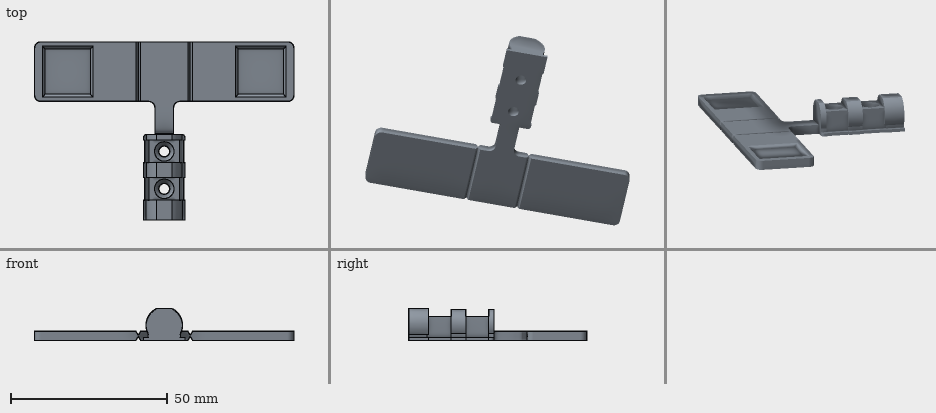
import cadquery as cq
import math

PLATE_LENGTH = 83.0
PLATE_DEPTH = 19.1
PLATE_THICKNESS = 3.0
CORNER_RADIUS = 2.0

HINGE_OFFSET = 8.3
HINGE_GROOVE_WIDTH = 1.5
HINGE_WEB = 0.4

RECESS_SIZE = 16.3
RECESS_TAPER = 0.9
RECESS_DEPTH = 1.0
RECESS_END_GAP = 2.5

STEM_WIDTH = 6.1
STEM_LENGTH = 10.5
STEM_FILLET = 2.0
STEM_BREAK = 0.25

BACK_COLLAR_LENGTH = 1.8
POCKET_LENGTH = 7.2
MIDDLE_COLLAR_LENGTH = 4.7
END_BLOCK_LENGTH = 6.4

FLANGE_THICKNESS = 1.0
FLANGE_HALF_WIDTH = 6.6
FLANGE_RELIEF = 0.3
FLANGE_CORNER_RADIUS = 1.0

TOP_FLAT_HALF_WIDTH = 2.4
NECK_HALF_WIDTH = 5.15
BULGE_HEIGHT = 4.9
COLLAR_HALF_WIDTH = 5.7
COLLAR_TOP = 10.0
COLLAR_NECK_TOP = 2.2
BLOCK_END_HALF_WIDTH = 5.8
BLOCK_MIDDLE_HALF_WIDTH = 5.9
BLOCK_TOP = 10.3
BLOCK_NECK_TOP = 2.0
BLOCK_NECK_SETBACK = 0.5

POCKET_HALF_WIDTH = 4.8
POCKET_TOP = 7.7

SCREW_HOLE_DIAMETER = 3.4
COUNTERSINK_DIAMETER = 6.2
COUNTERSINK_ANGLE = 90.0

clip_back = -STEM_LENGTH
first_pocket_back = clip_back - BACK_COLLAR_LENGTH
middle_collar_back = first_pocket_back - POCKET_LENGTH
second_pocket_back = middle_collar_back - MIDDLE_COLLAR_LENGTH
block_back = second_pocket_back - POCKET_LENGTH
clip_front = block_back - END_BLOCK_LENGTH
pocket_backs = (first_pocket_back, second_pocket_back)


def box(half_width, y_front, y_back, z_bottom, z_top):
    """Box centred on X = 0 between the given Y and Z limits."""
    size = (2 * half_width, y_back - y_front, z_top - z_bottom)
    return cq.Workplane("XY").box(*size, centered=(True, False, False)).translate((0, y_front, z_bottom))


def plate_with_stem():
    plate = (
        cq.Workplane("XY")
        .box(PLATE_LENGTH, PLATE_DEPTH, PLATE_THICKNESS, centered=(True, False, False))
        .edges("|Z")
        .fillet(CORNER_RADIUS)
    )
    stem = box(STEM_WIDTH / 2, clip_back, PLATE_DEPTH / 2, 0, PLATE_THICKNESS)
    stem = stem.edges("<Y and >Z").chamfer(STEM_BREAK)
    inner_corner = STEM_WIDTH / 2 + STEM_FILLET / 2
    corner_picker = cq.selectors.BoxSelector(
        (-inner_corner, -STEM_FILLET / 2, -0.8),
        (inner_corner, STEM_FILLET / 2, PLATE_THICKNESS + 0.8),
    )
    return plate.union(stem).edges("|Z").edges(corner_picker).fillet(STEM_FILLET)


def hinge_grooves():
    """Opposed V grooves above and below each hinge line."""
    middle = PLATE_THICKNESS / 2
    half_width = HINGE_GROOVE_WIDTH / 2
    grooves = cq.Workplane("XY")
    for x in (-HINGE_OFFSET, HINGE_OFFSET):
        for side in (-1, 1):
            surface = middle + side * PLATE_THICKNESS / 2
            root = middle + side * HINGE_WEB / 2
            groove = (
                cq.Workplane("XZ", origin=(x, PLATE_DEPTH, 0))
                .polyline([(-half_width, surface), (0, root), (half_width, surface)])
                .close()
                .extrude(PLATE_DEPTH)
            )
            grooves = grooves.add(groove)
    return grooves.combine()


def recesses():
    """Square recesses with sloping walls near both plate ends."""
    taper = math.degrees(math.atan2(RECESS_TAPER, RECESS_DEPTH))
    centre_x = PLATE_LENGTH / 2 - RECESS_END_GAP - RECESS_SIZE / 2
    return (
        cq.Workplane("XY", origin=(0, PLATE_DEPTH / 2, PLATE_THICKNESS))
        .pushPoints([(-centre_x, 0), (centre_x, 0)])
        .rect(RECESS_SIZE, RECESS_SIZE)
        .extrude(-RECESS_DEPTH, taper=taper)
    )


def round_section(workplane, half_width, top, neck_top):
    """Flat-topped section with round sides that narrow to the neck width."""
    return (
        workplane.moveTo(-NECK_HALF_WIDTH, neck_top)
        .threePointArc((-half_width, BULGE_HEIGHT), (-TOP_FLAT_HALF_WIDTH, top))
        .lineTo(TOP_FLAT_HALF_WIDTH, top)
        .threePointArc((half_width, BULGE_HEIGHT), (NECK_HALF_WIDTH, neck_top))
        .close()
    )


def collar(y_back, length):
    plane = cq.Workplane("XZ", origin=(0, y_back, 0))
    head = round_section(plane, COLLAR_HALF_WIDTH, COLLAR_TOP, COLLAR_NECK_TOP).extrude(length)
    return head.union(box(NECK_HALF_WIDTH, y_back - length, y_back, 0, COLLAR_NECK_TOP))


def end_block():
    """Barrel-sided block, widest halfway along its length."""
    section = cq.Workplane("XZ", origin=(0, block_back, 0))
    section = round_section(section, BLOCK_END_HALF_WIDTH, BLOCK_TOP, BLOCK_NECK_TOP)
    for half_width in (BLOCK_MIDDLE_HALF_WIDTH, BLOCK_END_HALF_WIDTH):
        section = section.workplane(offset=END_BLOCK_LENGTH / 2)
        section = round_section(section, half_width, BLOCK_TOP, BLOCK_NECK_TOP)
    neck_back = block_back - BLOCK_NECK_SETBACK
    return section.loft().union(box(NECK_HALF_WIDTH, clip_front, neck_back, 0, BLOCK_NECK_TOP))


def flange():
    plate = box(FLANGE_HALF_WIDTH, clip_front, clip_back, 0, FLANGE_THICKNESS)
    plate = plate.edges("|Z and >Y").fillet(FLANGE_CORNER_RADIUS)
    narrow_half_width = FLANGE_HALF_WIDTH - FLANGE_RELIEF
    for y_back in pocket_backs:
        y_front = y_back - POCKET_LENGTH
        full = box(FLANGE_HALF_WIDTH, y_front, y_back, 0, FLANGE_THICKNESS)
        narrow = box(narrow_half_width, y_front, y_back, 0, FLANGE_THICKNESS)
        plate = plate.cut(full.cut(narrow))
    return plate


def screw_holes():
    """Countersunk through holes at the middle of each pocket."""
    radius = SCREW_HOLE_DIAMETER / 2
    sink_radius = COUNTERSINK_DIAMETER / 2
    sink_depth = (sink_radius - radius) / math.tan(math.radians(COUNTERSINK_ANGLE / 2))
    profile = [
        (0, 0),
        (radius, 0),
        (radius, POCKET_TOP - sink_depth),
        (sink_radius, POCKET_TOP),
        (0, POCKET_TOP),
    ]
    cutter = cq.Workplane("XZ").polyline(profile).close().revolve(360, (0, 0), (0, 1))
    first = cutter.translate((0, first_pocket_back - POCKET_LENGTH / 2, 0))
    second = cutter.translate((0, second_pocket_back - POCKET_LENGTH / 2, 0))
    return first.union(second)


def clip():
    core = box(POCKET_HALF_WIDTH, clip_front, first_pocket_back, 0, POCKET_TOP)
    return (
        core.union(flange())
        .union(collar(clip_back, BACK_COLLAR_LENGTH))
        .union(collar(middle_collar_back, MIDDLE_COLLAR_LENGTH))
        .union(end_block())
        .cut(screw_holes())
    )


result = plate_with_stem().cut(hinge_grooves()).cut(recesses()).union(clip())